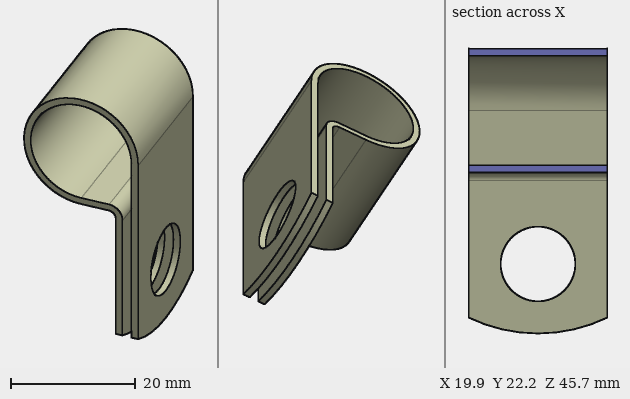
import cadquery as cq

overall_height = 45.65
width = 22.2
thickness = 1.2
loop_outer_radius = 9.95
loop_inner_radius = loop_outer_radius - thickness

leg_gap = 1.55
bend_inner_radius = 1.2
bend_outer_radius = bend_inner_radius + thickness
tip_rise = 2.55
hole_diameter = 11.9
hole_height = 11.15

bottom_z = loop_outer_radius - overall_height
short_leg_outer_x = loop_inner_radius - leg_gap
short_leg_inner_x = short_leg_outer_x - thickness
bend_x = short_leg_outer_x - bend_outer_radius
bend_z = -loop_inner_radius - bend_outer_radius


def bent_strip():
    """Strip profile: straight long leg, three-quarter loop, bend, short leg."""
    return (
        cq.Workplane("XZ")
        .moveTo(loop_outer_radius, bottom_z)
        .lineTo(loop_outer_radius, 0)
        .threePointArc((0, loop_outer_radius), (-loop_outer_radius, 0))
        .radiusArc((0, -loop_outer_radius), -loop_outer_radius)
        .lineTo(bend_x, -loop_outer_radius)
        .radiusArc((short_leg_inner_x, bend_z), bend_inner_radius)
        .lineTo(short_leg_inner_x, bottom_z)
        .lineTo(short_leg_outer_x, bottom_z)
        .lineTo(short_leg_outer_x, bend_z)
        .radiusArc((bend_x, -loop_inner_radius), -bend_outer_radius)
        .lineTo(0, -loop_inner_radius)
        .radiusArc((-loop_inner_radius, 0), loop_inner_radius)
        .threePointArc((0, loop_inner_radius), (loop_inner_radius, 0))
        .lineTo(loop_inner_radius, bottom_z)
        .close()
        .extrude(width / 2, both=True)
    )


def rounded_end_envelope():
    """Block along X whose lower face is the arc that rounds both leg ends."""
    corner_z = bottom_z + tip_rise
    return (
        cq.Workplane("YZ")
        .moveTo(-width / 2, loop_outer_radius)
        .lineTo(-width / 2, corner_z)
        .threePointArc((0, bottom_z), (width / 2, corner_z))
        .lineTo(width / 2, loop_outer_radius)
        .close()
        .extrude(loop_outer_radius, both=True)
    )


def bolt_hole():
    """Cylinder along X passing through both legs."""
    return (
        cq.Workplane("YZ")
        .center(0, bottom_z + hole_height)
        .circle(hole_diameter / 2)
        .extrude(loop_outer_radius, both=True)
    )


result = bent_strip().intersect(rounded_end_envelope()).cut(bolt_hole())